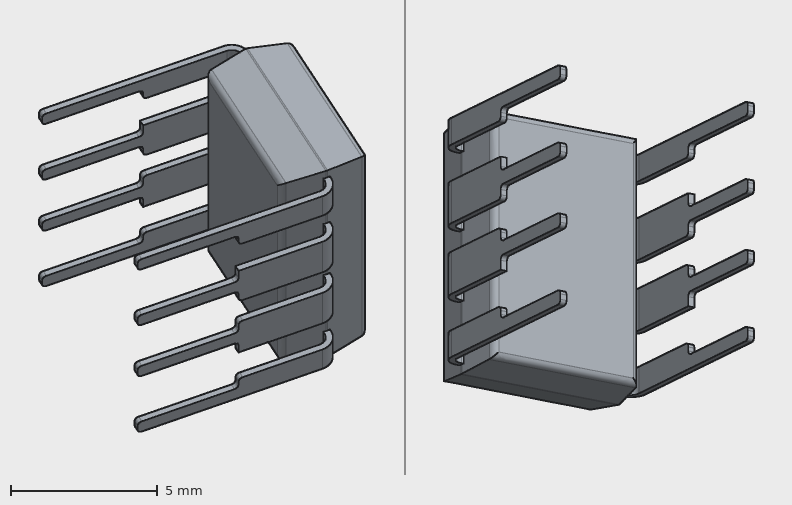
import cadquery as cq

body_height = 9.27
body_width = 6.36
body_depth = 3.3
row_width = 7.81
total_depth = 9.15

band_depth = 0.06
inset_x = 0.26
inset_z = 0.2
body_fillet = 0.25

pitch = 2.54
lead_thickness = 0.25
bend_radius = 0.64
wide_inner = 1.52
wide_outer = 0.96
pin_width = 0.51
corner_radius = 0.16
shoulder_y = -3.68
lead_embed = 0.56

tip_y = body_depth / 2 - total_depth
lead_front_y = lead_thickness / 2
row_half = row_width / 2
lead_root_x = lead_embed - body_width / 2


def half_body(direction):
    """Tapered half of the body, from the parting band to the -Y (+1) or +Y (-1) face."""
    half_band = band_depth / 2
    taper_depth = body_depth / 2 - half_band
    face_selector = "<Y" if direction > 0 else ">Y"
    return (
        cq.Workplane("XZ", origin=(0, -direction * half_band, 0))
        .rect(body_width, body_height)
        .workplane(offset=direction * taper_depth)
        .rect(body_width - 2 * inset_x, body_height - 2 * inset_z)
        .loft(ruled=True)
        .faces(face_selector)
        .edges()
        .fillet(body_fillet)
    )


def make_body():
    band = cq.Workplane("XY").box(body_width, band_depth, body_height)
    return band.union(half_body(1)).union(half_body(-1))


def bent_strip():
    """Full-height strip of the -X row: out of the body, round the bend and down to the tips."""
    outer_x = -row_half
    inner_x = outer_x + lead_thickness
    back_y = lead_front_y - lead_thickness
    bend_x = outer_x + bend_radius
    bend_y = lead_front_y - bend_radius
    inner_radius = bend_radius - lead_thickness
    return (
        cq.Workplane("XY", origin=(0, 0, -body_height / 2))
        .moveTo(lead_root_x, lead_front_y)
        .lineTo(bend_x, lead_front_y)
        .radiusArc((outer_x, bend_y), -bend_radius)
        .lineTo(outer_x, tip_y)
        .lineTo(inner_x, tip_y)
        .lineTo(inner_x, bend_y)
        .radiusArc((bend_x, back_y), inner_radius)
        .lineTo(lead_root_x, back_y)
        .close()
        .extrude(body_height)
    )


def slab(y_start, y_end, z_low, z_high):
    """Block spanning the given Y and Z ranges over the X range of one lead row."""
    return cq.Workplane("XY").box(
        row_half, y_start - y_end, z_high - z_low, centered=False
    ).translate((-row_half, y_end, z_low))


def round_corners(blade, corners):
    """Fillet the X-direction edges of a blade that pass through the given (y, z) corners."""
    for y, z in corners:
        edge = cq.selectors.NearestToPointSelector((-row_half / 2, y, z))
        blade = blade.edges("|X").edges(edge).fillet(corner_radius)
    return blade


def inner_blade():
    """Side outline of the upper middle lead; its shoulder corner away from the centre is sharp."""
    z_mid = pitch / 2
    z_low = z_mid - wide_inner / 2
    pin_low = z_mid - pin_width / 2
    pin_high = z_mid + pin_width / 2
    shoulder = slab(lead_front_y, shoulder_y, z_low, z_mid + wide_inner / 2)
    blade = shoulder.union(slab(shoulder_y, tip_y, pin_low, pin_high))
    return round_corners(blade, [
        (shoulder_y, z_low),
        (shoulder_y, pin_low),
        (shoulder_y, pin_high),
        (tip_y, pin_low),
        (tip_y, pin_high),
    ])


def outer_blade():
    """Side outline of the upper end lead; its pin is flush with the outer shoulder edge."""
    z_mid = 1.5 * pitch
    z_low = z_mid - wide_outer / 2
    z_high = z_mid + wide_outer / 2
    pin_low = z_high - pin_width
    shoulder = slab(lead_front_y, shoulder_y, z_low, z_high)
    blade = shoulder.union(slab(shoulder_y, tip_y, pin_low, z_high)).clean()
    return round_corners(blade, [
        (shoulder_y, z_low),
        (shoulder_y, pin_low),
        (tip_y, pin_low),
        (tip_y, z_high),
    ])


result = make_body()
strip = bent_strip()
for blade in (inner_blade(), outer_blade()):
    upper_left = strip.intersect(blade)
    left_pair = upper_left.union(upper_left.mirror("XY"))
    result = result.union(left_pair).union(left_pair.mirror("YZ"))